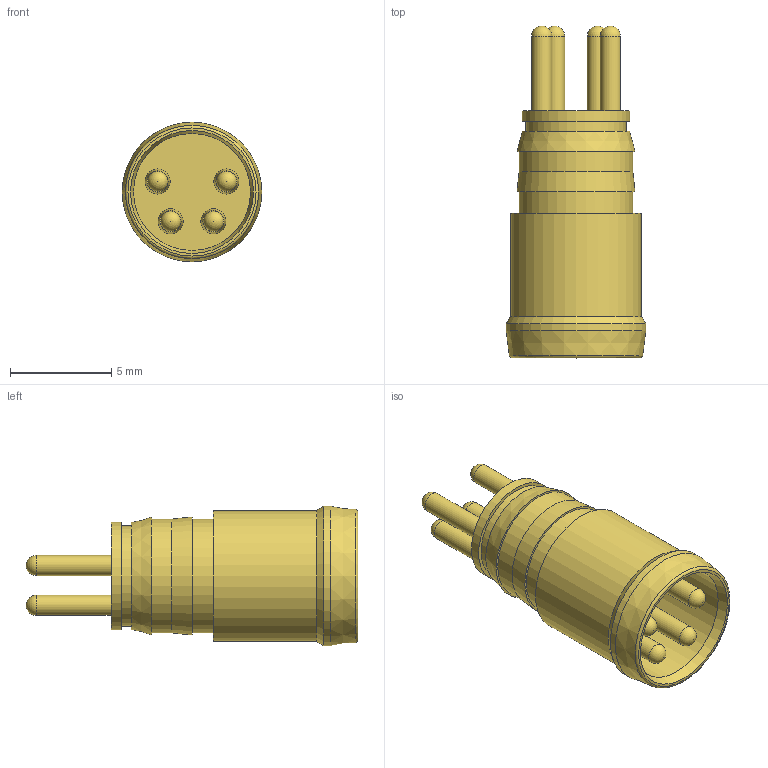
import cadquery as cq
import math

BULGE_START = 1.34
BULGE_END = 1.69
BULGE_SHOULDER = 2.04
SHELL_END = 7.14
FRONT_BARB_EDGE = 8.2
BARB_LENGTH = 1.0
REAR_BARB_EDGE = FRONT_BARB_EDGE + 2 * BARB_LENGTH
GROOVE_START = REAR_BARB_EDGE + BARB_LENGTH
FLANGE_START = 11.7
BODY_END = 12.2
OVERALL_LENGTH = 16.4

MOUTH_DIA = 6.56
BULGE_DIA = 6.9
SHELL_DIA = 6.47
CORE_DIA = 5.62
BARB_DIA = 5.83
REAR_BARB_TIP_DIA = 5.3
GROOVE_DIA = 4.95
FLANGE_DIA = 5.3
MOUTH_FILLET = 0.13

BORE_DIA = 5.78
BORE_MOUTH_DIA = 6.08
LEAD_IN_LENGTH = 0.5
BORE_DEPTH = 6.0

PIN_DIA = 1.0
UPPER_PIN_X = 1.7
UPPER_PIN_Z = 0.52
LOWER_PIN_X = 1.06
LOWER_PIN_Z = -1.45
PIN_FRONT = 0.4

COLLAR_BASE_DIA = 1.24
COLLAR_TIP_DIA = 1.04
COLLAR_LENGTH = 1.0


def revolve_about_y(profile):
    """Full turn of a closed (radius, Y) profile about the connector axis."""
    return profile.close().revolve(360, (0, 0, 0), (0, 1, 0))


def make_body():
    outline = [
        (0, 0),
        (MOUTH_DIA / 2, 0),
        (BULGE_DIA / 2, BULGE_START),
        (BULGE_DIA / 2, BULGE_END),
        (SHELL_DIA / 2, BULGE_SHOULDER),
        (SHELL_DIA / 2, SHELL_END),
        (CORE_DIA / 2, SHELL_END),
        (CORE_DIA / 2, FRONT_BARB_EDGE),
        (BARB_DIA / 2, FRONT_BARB_EDGE),
        (CORE_DIA / 2, FRONT_BARB_EDGE + BARB_LENGTH),
        (CORE_DIA / 2, REAR_BARB_EDGE),
        (BARB_DIA / 2, REAR_BARB_EDGE),
        (REAR_BARB_TIP_DIA / 2, GROOVE_START),
        (GROOVE_DIA / 2, GROOVE_START),
        (GROOVE_DIA / 2, FLANGE_START),
        (FLANGE_DIA / 2, FLANGE_START),
        (FLANGE_DIA / 2, BODY_END),
        (0, BODY_END),
    ]
    body = revolve_about_y(cq.Workplane("XY").polyline(outline))
    return body.faces("<Y").edges().fillet(MOUTH_FILLET)


def make_bore():
    outline = [
        (0, 0),
        (BORE_MOUTH_DIA / 2, 0),
        (BORE_DIA / 2, LEAD_IN_LENGTH),
        (BORE_DIA / 2, BORE_DEPTH),
        (0, BORE_DEPTH),
    ]
    return revolve_about_y(cq.Workplane("XY").polyline(outline))


def make_collar():
    collar_tip = BORE_DEPTH - COLLAR_LENGTH
    outline = [
        (0, BORE_DEPTH),
        (COLLAR_BASE_DIA / 2, BORE_DEPTH),
        (COLLAR_TIP_DIA / 2, collar_tip),
        (0, collar_tip),
    ]
    return revolve_about_y(cq.Workplane("XY").polyline(outline))


def make_pin():
    """Pin on the Y axis: domed at both ends."""
    radius = PIN_DIA / 2
    dome_offset = radius * math.sqrt(0.5)
    front_centre = PIN_FRONT + radius
    rear_centre = OVERALL_LENGTH - radius
    profile = (
        cq.Workplane("XY")
        .moveTo(0, PIN_FRONT)
        .threePointArc((dome_offset, front_centre - dome_offset), (radius, front_centre))
        .lineTo(radius, rear_centre)
        .threePointArc((dome_offset, rear_centre + dome_offset), (0, OVERALL_LENGTH))
    )
    return revolve_about_y(profile)


result = make_body().cut(make_bore())
collar = make_collar()
pin = make_pin()
for pin_x, pin_z in [(UPPER_PIN_X, UPPER_PIN_Z), (LOWER_PIN_X, LOWER_PIN_Z)]:
    for side in (-1, 1):
        pin_place = (side * pin_x, 0, pin_z)
        result = result.union(collar.translate(pin_place)).union(pin.translate(pin_place))